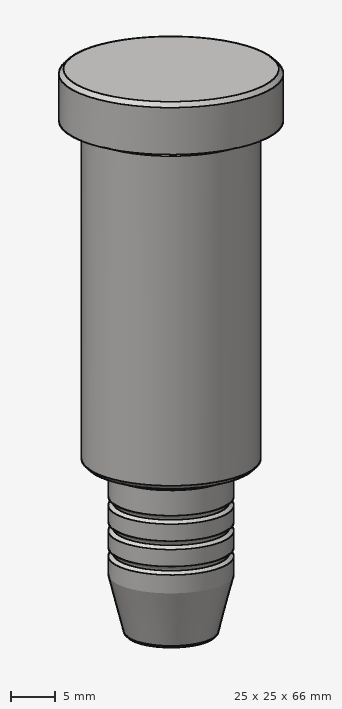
import cadquery as cq

total_length = 66.0

head_radius = 12.51
head_height = 6.0
head_chamfer = 0.5

shank_radius = 10.0
shank_bottom = 20.0
shank_chamfer = 0.5
undercut_height = 1.0
undercut_depth = 0.6
undercut_top_depth = 0.25
undercut_root_drop = 0.45

plug_radius = 7.0
neck_radius = 6.5
neck_height = 1.0
groove_count = 3
groove_pitch = 3.0
groove_width = 1.0
groove_depth = 0.5
groove_root_drop = 0.65
top_groove_center = 15.6
taper_height = 7.0
tip_radius = 5.3
tip_chamfer = 0.3

head_bottom = total_length - head_height
plug_top = shank_bottom - neck_height


def cut_groove(profile, center):
    """Continue the profile downwards through one groove: a rounded upper flank, then a straight one."""
    root_radius = plug_radius - groove_depth
    upper_edge = center + groove_width / 2
    return (
        profile.lineTo(plug_radius, upper_edge)
        .radiusArc((root_radius, upper_edge - groove_root_drop), -groove_root_drop)
        .lineTo(plug_radius, center - groove_width / 2)
    )


profile = (
    cq.Workplane("XZ")
    .moveTo(0, total_length)
    .lineTo(head_radius - head_chamfer, total_length)
    .lineTo(head_radius, total_length - head_chamfer)
    .lineTo(head_radius, head_bottom)
)
undercut_root_radius = shank_radius - undercut_depth
profile = (
    profile.lineTo(shank_radius - undercut_top_depth, head_bottom)
    .lineTo(undercut_root_radius, head_bottom - undercut_root_drop)
    .lineTo(shank_radius, head_bottom - undercut_height)
)
profile = (
    profile.lineTo(shank_radius, shank_bottom + shank_chamfer)
    .lineTo(shank_radius - shank_chamfer, shank_bottom)
    .lineTo(neck_radius, shank_bottom)
    .lineTo(neck_radius, plug_top)
    .lineTo(plug_radius, plug_top)
)
for index in range(groove_count):
    groove_center = top_groove_center - index * groove_pitch
    profile = cut_groove(profile, groove_center)
profile = (
    profile.lineTo(plug_radius, taper_height)
    .lineTo(tip_radius, tip_chamfer)
    .lineTo(tip_radius - tip_chamfer, 0)
    .lineTo(0, 0)
    .close()
)

result = profile.revolve(360, (0, 0, 0), (0, 1, 0))